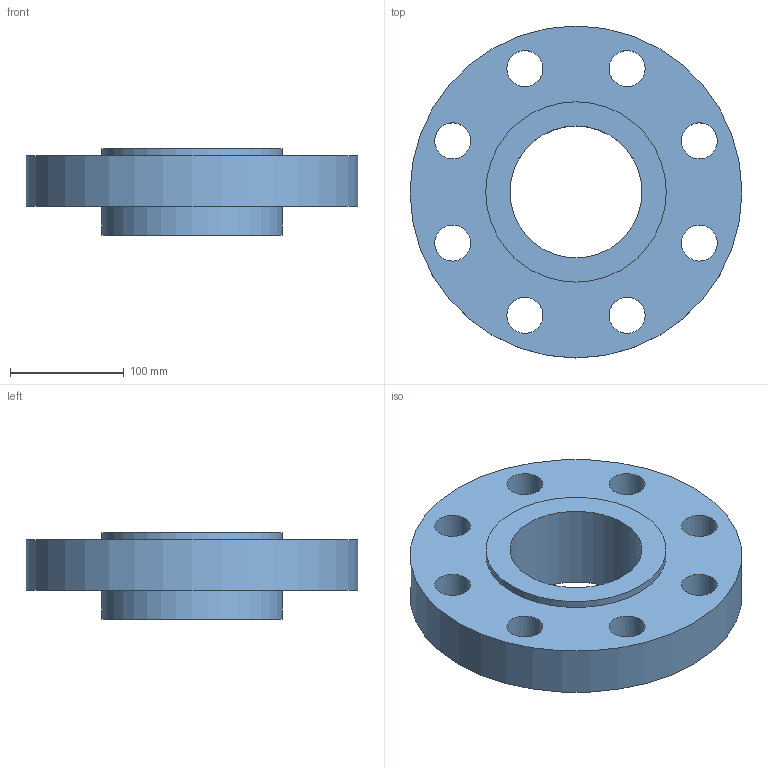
import cadquery as cq

flange_diameter = 292.1
flange_thickness = 44.45
raised_face_height = 6.35
hub_diameter = 158.75
raised_face_diameter = hub_diameter
overall_height = 76.2
hub_height = overall_height - flange_thickness - raised_face_height
bore_diameter = 116.1

bolt_count = 8
bolt_circle_diameter = 234.95
bolt_hole_diameter = 31.75
first_bolt_angle = 180 / bolt_count


def make_body():
    """Hub, flange disc and raised face stacked upward from Z = 0."""
    hub = cq.Workplane("XY").circle(hub_diameter / 2).extrude(hub_height)
    flange = hub.faces(">Z").workplane().circle(flange_diameter / 2).extrude(flange_thickness)
    return flange.faces(">Z").workplane().circle(raised_face_diameter / 2).extrude(raised_face_height)


def make_bore():
    """Straight through bore for the pipe."""
    return cq.Workplane("XY").circle(bore_diameter / 2).extrude(overall_height)


def make_bolt_holes():
    """Ring of bolt holes passing right through the flange disc."""
    return (
        cq.Workplane("XY")
        .workplane(offset=hub_height)
        .polarArray(bolt_circle_diameter / 2, first_bolt_angle, 360, bolt_count)
        .circle(bolt_hole_diameter / 2)
        .extrude(flange_thickness)
    )


result = make_body().cut(make_bore()).cut(make_bolt_holes())